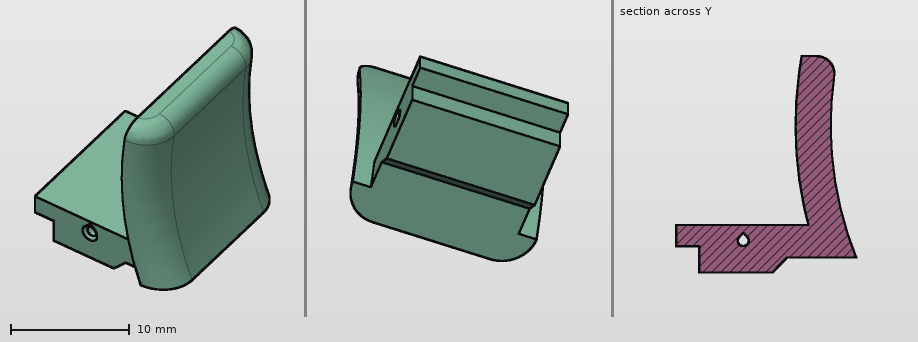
import cadquery as cq
import math

block_width = 13.28
block_top = 4.01
step_length = 1.93
step_height = 2.2
foot_end = 8.12
ramp_end = 9.34
plate_bottom = 1.25
block_end = 12.77

plate_width = 16.5
plate_top = 18.24
plate_thickness = 3.0
front_radius = 32.83
front_x = 10.05
bend_z = 12.37
bend_x = front_x + front_radius
top_fillet = 1.51

hole_x = 5.65
hole_z = 2.7
hole_radius = 0.45
countersink_radius = 0.75
countersink_depth = countersink_radius - hole_radius


def make_block():
    outline = [
        (0, block_top),
        (0, step_height),
        (step_length, step_height),
        (step_length, 0),
        (foot_end, 0),
        (ramp_end, plate_bottom),
        (block_end, plate_bottom),
        (block_end, block_top),
    ]
    return cq.Workplane("XZ").polyline(outline).close().extrude(block_width / 2, both=True)


def make_plate():
    half_width = plate_width / 2
    half_flat = half_width - plate_thickness
    back_x = front_x + plate_thickness
    round_offset = plate_thickness * math.sqrt(0.5)
    round_x = front_x + round_offset
    round_y = half_flat + round_offset
    section = (
        cq.Workplane("XY", origin=(0, 0, bend_z))
        .moveTo(front_x, -half_width)
        .threePointArc((round_x, -round_y), (back_x, -half_flat))
        .lineTo(back_x, half_flat)
        .threePointArc((round_x, round_y), (front_x, half_width))
        .close()
    )
    ring = section.revolve(360, (bend_x, 0, 0), (bend_x, 1, 0))
    height = plate_top - plate_bottom
    slab = (
        cq.Workplane("XY", origin=(front_x, 0, plate_bottom))
        .box(front_radius, plate_width, height, centered=(True, True, False))
    )
    plate = ring.intersect(slab)
    return plate.faces(">Z").edges("not <X").fillet(top_fillet)


def teardrop(radius, y):
    """Closed wire: a circle whose upper side runs to a point along 45 degree tangents."""
    tangent = radius * math.sqrt(0.5)
    return (
        cq.Workplane("XZ", origin=(hole_x, y, hole_z))
        .moveTo(-tangent, tangent)
        .threePointArc((0, -radius), (tangent, tangent))
        .lineTo(0, radius * math.sqrt(2))
        .close()
    )


def make_hole():
    half_width = block_width / 2
    hole = teardrop(hole_radius, half_width).extrude(block_width)
    for side in (-1, 1):
        outer = teardrop(countersink_radius, side * half_width).wires().val()
        inner = teardrop(hole_radius, side * (half_width - countersink_depth)).wires().val()
        hole = hole.union(cq.Workplane(cq.Solid.makeLoft([outer, inner], True)))
    return hole


result = make_block().union(make_plate()).cut(make_hole())